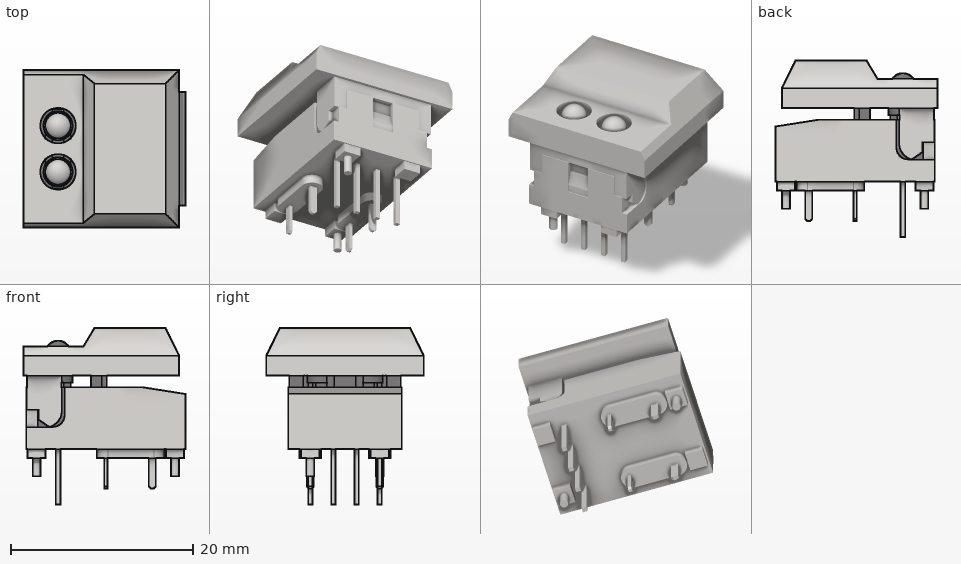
import cadquery as cq


body_length = 17.5
body_width = 12.46
body_height = 6.8
body_low_height = 6.05
body_slope_start = 12.75

recess_end = 4.22
recess_floor = 2.42
recess_depth = 0.63
recess_radius = 1.3
pocket_start = 1.28
notch_inner_y = 4.6
notch_floor = 4.42

window_width = 2.54
window_floor = 3.05
window_depth = 0.8
latch_gap = 0.1
latch_top_setback = 0.5
latch_slope_bottom = 3.9
latch_slope_top = 5.33

cap_rear = -0.3
cap_length = 17.1
cap_width = 17.3
cap_bottom = 8.05
cap_band_top = 10.25
cap_shoulder = 11.27
cap_top = 13.3
cap_taper = 1.5
shoulder_end = 6.28
crown_start = 7.5
cap_front = cap_rear + cap_length

plunger_rear = 0.08
plunger_wall_end = 1.4
arm_end = 3.9
arm_outer_y = 6.13
arm_chamfer_top = 3.2
arm_tip_x = 2.55
arm_curve_start = 4.33
post_bottom = 4.34
arm_curve_mid = (3.55, 3.1)
stem_rear = 7.1
stem_step = 8.3
stem_front = 8.86
stem_wide_width = 4.0
stem_narrow_width = 2.4

led_x = 3.5
led_pitch = 5.08
led_diameter = 2.8
led_flange_diameter = 3.2
led_flange_bottom = 7.28
led_flange_height = 1.0
led_dome_top = 11.9
led_well_diameter = 3.9
led_lead_pitch = 2.54
led_lead_length_x = 0.55
led_lead_width_y = 0.5
led_lead_bottom = -6.1
led_slot_width = 1.24
led_slot_overhang = 1.8
led_slot_length = led_pitch + 2 * led_slot_overhang
led_slot_depth = 0.5
rail_inner_end_y = 3.2
led_ys = (-led_pitch / 2, led_pitch / 2)

row_y = 3.81
standoff_height = 1.0
foot_size = 2.0
foot_rear_x = 1.15
foot_front_x = 16.33
peg_diameter = 0.9
peg_bottom = -3.0
rail_pad_rear = 7.74
rail_pad_front = 15.2
rail_pad_width = 2.4
pin_bottom = -4.35
pin_width = 0.8
pin_thickness = 0.4
pin_chamfer = 0.25
rear_pin_x = 8.75
front_pin_x = 13.85


def block(x0, x1, y0, y1, z0, z1):
    """Axis-aligned box between two corners."""
    return cq.Workplane("XY").box(x1 - x0, y1 - y0, z1 - z0, centered=False).translate((x0, y0, z0))


def centred_block(x, y, size_x, size_y, z0, z1):
    """Box centred on a point in plan."""
    return block(x - size_x / 2, x + size_x / 2, y - size_y / 2, y + size_y / 2, z0, z1)


def cylinder(x, y, diameter, z0, z1):
    """Vertical cylinder between two heights."""
    return cq.Workplane("XY", origin=(x, y, z0)).circle(diameter / 2).extrude(z1 - z0)


def profile_plane(y_end):
    """XZ sketch plane at y_end; extrusions run toward -Y."""
    return cq.Workplane("XZ", origin=(0, y_end, 0))


def both_sides(shape):
    """The shape together with its mirror image across Y = 0."""
    return shape.union(shape.mirror("XZ"))


def make_recess(depth):
    """Round-cornered cutter in the +Y side of the body, of the given depth."""
    return (
        profile_plane(body_width / 2)
        .moveTo(0, recess_floor)
        .lineTo(recess_end - recess_radius, recess_floor)
        .radiusArc((recess_end, recess_floor + recess_radius), -recess_radius)
        .lineTo(recess_end, body_height)
        .lineTo(0, body_height)
        .close()
        .extrude(depth)
    )


def make_body():
    body = (
        profile_plane(body_width / 2)
        .polyline([
            (0, 0),
            (body_length, 0),
            (body_length, body_low_height),
            (body_slope_start, body_height),
            (0, body_height),
        ])
        .close()
        .extrude(body_width)
    )
    recess = make_recess(recess_depth)
    arm_pocket = make_recess(body_width / 2 - notch_inner_y).intersect(
        block(pocket_start, recess_end, notch_inner_y, body_width / 2, recess_floor, body_height)
    )
    notch = block(0, plunger_wall_end, notch_inner_y, body_width / 2, notch_floor, body_height)
    body = body.cut(both_sides(recess)).cut(both_sides(arm_pocket)).cut(both_sides(notch))

    window = block(0, window_depth, -window_width / 2, window_width / 2, window_floor, body_height)
    latch = (
        profile_plane(window_width / 2)
        .polyline([
            (latch_gap, window_floor),
            (window_depth, window_floor),
            (window_depth, latch_slope_top),
            (latch_top_setback, latch_slope_top),
            (latch_gap, latch_slope_bottom),
        ])
        .close()
        .extrude(window_width)
    )
    led_slot = centred_block(
        led_x, 0, led_slot_width, led_slot_length, body_height - led_slot_depth, body_height
    )
    return body.cut(window).union(latch).cut(led_slot)


def make_cap():
    half_width = cap_width / 2
    side_profile = (
        profile_plane(half_width)
        .polyline([
            (cap_rear, cap_bottom),
            (cap_front, cap_bottom),
            (cap_front, cap_band_top),
            (cap_front - cap_taper, cap_top),
            (crown_start, cap_top),
            (shoulder_end, cap_shoulder),
            (cap_rear, cap_shoulder),
        ])
        .close()
        .extrude(cap_width)
    )
    end_profile = (
        cq.Workplane("YZ", origin=(cap_rear, 0, 0))
        .polyline([
            (-half_width, cap_bottom),
            (half_width, cap_bottom),
            (half_width, cap_band_top),
            (half_width - cap_taper, cap_top),
            (-half_width + cap_taper, cap_top),
            (-half_width, cap_band_top),
        ])
        .close()
        .extrude(cap_length)
    )
    cap = side_profile.intersect(end_profile)
    for y in led_ys:
        cap = cap.cut(cylinder(led_x, y, led_well_diameter, cap_bottom, cap_top))
    return cap


def make_plunger():
    rear_wall = block(
        plunger_rear, plunger_wall_end, -arm_outer_y, arm_outer_y, body_height, cap_bottom
    )
    corner_post = block(
        plunger_rear, plunger_wall_end, notch_inner_y, arm_outer_y, post_bottom, cap_bottom
    )
    arm = (
        profile_plane(arm_outer_y)
        .moveTo(plunger_wall_end, cap_bottom)
        .lineTo(plunger_wall_end, arm_chamfer_top)
        .lineTo(arm_tip_x, recess_floor)
        .threePointArc(arm_curve_mid, (arm_end, arm_curve_start))
        .lineTo(arm_end, cap_bottom)
        .close()
        .extrude(arm_outer_y - notch_inner_y)
    )
    stem_rear_part = block(
        stem_rear, stem_step, -stem_wide_width / 2, stem_wide_width / 2, body_height, cap_bottom
    )
    stem_front_part = block(
        stem_step, stem_front, -stem_narrow_width / 2, stem_narrow_width / 2, body_height, cap_bottom
    )
    plunger = rear_wall.union(both_sides(corner_post.union(arm)))
    return plunger.union(stem_rear_part).union(stem_front_part)


def make_led(y):
    radius = led_diameter / 2
    dome_centre = led_dome_top - radius
    led = cylinder(led_x, y, led_flange_diameter, led_flange_bottom, led_flange_bottom + led_flange_height)
    led = led.union(cylinder(led_x, y, led_diameter, led_flange_bottom, dome_centre))
    led = led.union(cq.Workplane("XY").sphere(radius).translate((led_x, y, dome_centre)))
    for side in (-1, 1):
        lead_y = y + side * led_lead_pitch / 2
        lead = centred_block(
            led_x, lead_y, led_lead_length_x, led_lead_width_y, led_lead_bottom, led_flange_bottom
        )
        led = led.union(lead)
    return led


def make_led_rails():
    """Two parallel rails on the body that carry the LED flanges."""
    rails = block(
        led_x - led_diameter / 2, led_x + led_diameter / 2,
        -rail_inner_end_y, rail_inner_end_y, body_height, led_flange_bottom,
    )
    gap = centred_block(led_x, 0, led_slot_width, led_slot_length, body_height, led_flange_bottom)
    return rails.cut(gap)


def make_standoffs():
    feet = centred_block(foot_rear_x, row_y, foot_size, foot_size, -standoff_height, 0)
    feet = feet.union(centred_block(foot_front_x, row_y, foot_size, foot_size, -standoff_height, 0))
    pad = (
        cq.Workplane("XY", origin=((rail_pad_rear + rail_pad_front) / 2, row_y, -standoff_height))
        .slot2D(rail_pad_front - rail_pad_rear, rail_pad_width)
        .extrude(standoff_height)
    )
    standoffs = both_sides(feet.union(pad))
    for x, y in ((foot_rear_x, row_y), (foot_front_x, -row_y)):
        standoffs = standoffs.union(cylinder(x, y, peg_diameter, peg_bottom, -standoff_height))
    return standoffs


def make_contact_pins():
    rear_pin = centred_block(
        rear_pin_x, row_y, pin_thickness, pin_width, pin_bottom, -standoff_height
    ).edges("<Z and |X").chamfer(pin_chamfer)
    front_pin = centred_block(
        front_pin_x, row_y, pin_width, pin_thickness, pin_bottom, -standoff_height
    ).edges("<Z and |Y").chamfer(pin_chamfer)
    return both_sides(rear_pin.union(front_pin))


result = make_body().union(make_cap()).union(make_plunger()).union(make_led_rails())
for led_y in led_ys:
    result = result.union(make_led(led_y))
result = result.union(make_standoffs()).union(make_contact_pins())